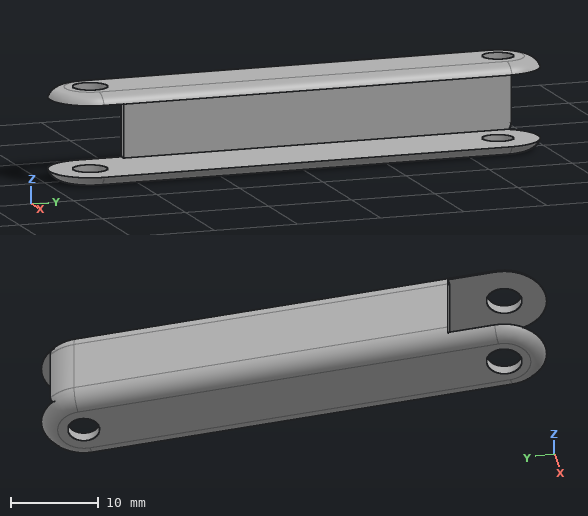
import cadquery as cq
import math

plate_span = 58.75
height = 10.8
outer_width = 10.0
edge_radius = 2.0
plate_thickness = 1.25
wall_thickness = 1.0
wall_setback = 10.3
front_hole_diameter = 4.0
rear_hole_diameter = 3.6

rounding_left = edge_radius - plate_thickness
plate_inset = edge_radius - math.sqrt(edge_radius**2 - rounding_left**2)
outer_length = plate_span + 2 * plate_inset
hole_spacing = outer_length - outer_width
wall_end_y = -plate_span / 2 + wall_setback
wall_inner_x = -outer_width / 2 + wall_thickness
gap_height = height - 2 * plate_thickness


def rounded_bar():
    """Solid bar with semicircular ends and rounded top and bottom rims."""
    return (
        cq.Workplane("XY")
        .slot2D(outer_length, outer_width, 90)
        .extrude(height / 2, both=True)
        .faces("|Z")
        .edges()
        .fillet(edge_radius)
    )


def side_opening():
    """Space between the plates, open at +X and at both ends."""
    return (
        cq.Workplane("XY")
        .box(outer_width, outer_length, gap_height, centered=(False, True, True))
        .translate((wall_inner_x, 0, 0))
    )


def front_opening():
    """Full-width space between the plates at the -Y end."""
    front_y = -outer_length / 2
    return (
        cq.Workplane("XY")
        .box(outer_width, wall_end_y - front_y, gap_height, centered=(True, False, True))
        .translate((0, front_y, 0))
    )


def pin_hole(y, diameter):
    """Cylinder that cuts through both plates."""
    return (
        cq.Workplane("XY")
        .center(0, y)
        .circle(diameter / 2)
        .extrude(height / 2, both=True)
    )


result = (
    rounded_bar()
    .cut(side_opening())
    .cut(front_opening())
    .cut(pin_hole(-hole_spacing / 2, front_hole_diameter))
    .cut(pin_hole(hole_spacing / 2, rear_hole_diameter))
)